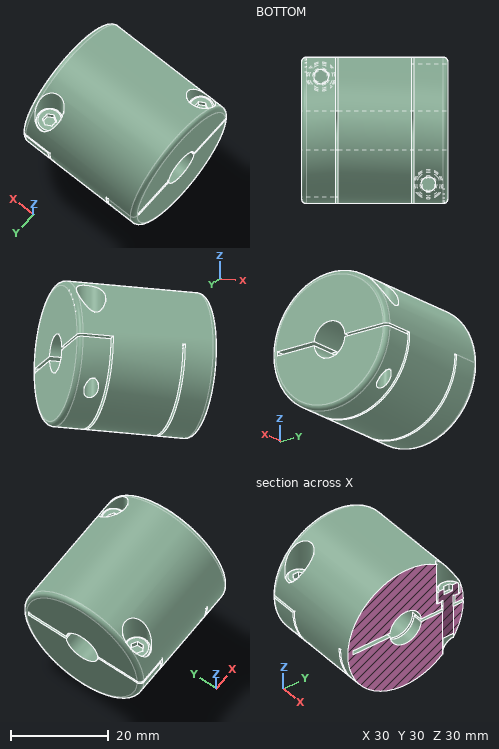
import cadquery as cq

length = 30
outer_diameter = 30
bore_diameter = 8.0
rim_fillet = 1.0

cross_slot_inner = 7.5
cross_slot_width = 0.5
open_slit_height = 0.6
hinge_slit_height = 0.9
hinge_slit_end = 13.6

screw_x = 10.98
screw_y = 11.0
shank_diameter = 3
head_diameter = 5.5
head_chamfer = 0.35
head_height = 3
socket_width = 2.5
socket_depth = 1.5
head_seat_z = 2.4
screw_tip_z = -7.5
clearance_diameter = 3.5
counterbore_diameter = 6

outer_radius = outer_diameter / 2
end_x = length / 2


def z_cylinder(x, y, diameter, bottom, top):
    """Upright cylinder between two heights."""
    return cq.Workplane("XY", origin=(x, y, bottom)).circle(diameter / 2).extrude(top - bottom)


def box_between(x_range, y_range, z_range):
    """Box given by its two limits along each axis."""
    (x0, x1), (y0, y1), (z0, z1) = x_range, y_range, z_range
    return cq.Workplane("XY").box(x1 - x0, y1 - y0, z1 - z0, centered=False).translate((x0, y0, z0))


def clamp_cuts():
    """Everything removed to form the clamp at the -X end."""
    clamp_x = (-end_x, -cross_slot_inner)
    cross_slot = box_between(
        (-cross_slot_inner - cross_slot_width, -cross_slot_inner),
        (-outer_radius, outer_radius),
        (-outer_radius, 0),
    )
    open_slit = box_between(clamp_x, (-outer_radius, 0), (-open_slit_height / 2, open_slit_height / 2))
    hinge_slit = box_between(clamp_x, (0, hinge_slit_end), (-hinge_slit_height / 2, hinge_slit_height / 2))
    counterbore = z_cylinder(-screw_x, -screw_y, counterbore_diameter, head_seat_z, outer_radius)
    clearance_hole = z_cylinder(-screw_x, -screw_y, clearance_diameter, 0, head_seat_z)
    threaded_hole = z_cylinder(-screw_x, -screw_y, shank_diameter, -outer_radius, 0)
    return [cross_slot, open_slit, hinge_slit, counterbore, clearance_hole, threaded_hole]


def opposite(shape):
    """The same shape turned half a turn about Z, for the +X end."""
    return shape.rotate((0, 0, 0), (0, 0, 1), 180)


def make_body():
    """Round coupling body with a through bore and a clamp at each end."""
    body = cq.Workplane("YZ", origin=(-end_x, 0, 0)).circle(outer_radius).extrude(length)
    body = body.edges().fillet(rim_fillet)
    body = body.cut(cq.Workplane("YZ", origin=(-end_x, 0, 0)).circle(bore_diameter / 2).extrude(length))
    for cutter in clamp_cuts():
        body = body.cut(cutter).cut(opposite(cutter))
    return body


def make_screw():
    """Socket head cap screw of the -X clamp."""
    head_top = head_seat_z + head_height
    shank = z_cylinder(-screw_x, -screw_y, shank_diameter, screw_tip_z, head_seat_z)
    head = z_cylinder(-screw_x, -screw_y, head_diameter, head_seat_z, head_top)
    head = head.faces(">Z").chamfer(head_chamfer)
    socket = (
        cq.Workplane("XY", origin=(-screw_x, -screw_y, head_top))
        .polygon(6, socket_width, circumscribed=True)
        .extrude(-socket_depth)
    )
    return shank.union(head).cut(socket)


body = make_body()
clamp_screw = make_screw()
screws = [clamp_screw, opposite(clamp_screw)]

result = cq.Compound.makeCompound([body.val(), *[screw.val() for screw in screws]])